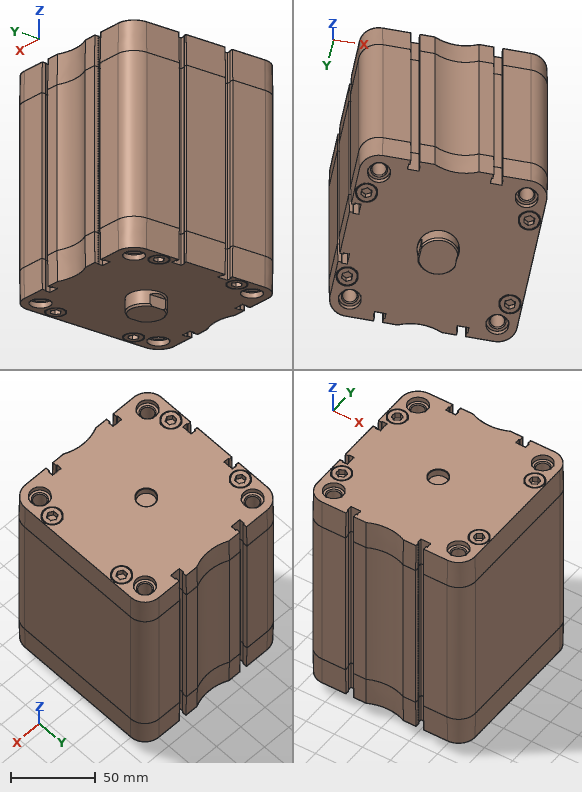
import cadquery as cq
import math

WIDTH = 113.5
BODY_HEIGHT = 147.0
OVERALL_HEIGHT = 157.0
ROD_PROJECTION = OVERALL_HEIGHT - BODY_HEIGHT
CAP_HEIGHT = 20.0
BARREL_HEIGHT = BODY_HEIGHT - 2 * CAP_HEIGHT
CAP_DRAFT = 1.2
CORNER_RADIUS = 12.1

HOLLOW_HALF_WIDTH = 13.2
HOLLOW_DEPTH = 3.0

SLOT_MOUTH_WIDTH = 5.5
SLOT_INNER_WIDTH = 6.9
Y_SIDE_SLOT_OFFSET = 25.0
Y_SIDE_SLOT_DEPTH = 6.8
Y_SIDE_LIP_DEPTH = 3.3
X_SIDE_SLOT_OFFSET = 17.5
X_SIDE_SLOT_DEPTH = 6.1
X_SIDE_LIP_DEPTH = 2.7

MOUNT_OFFSET = 44.5
MOUNT_BORE_DIAMETER = 13.5
MOUNT_BORE_DEPTH = 3.5
MOUNT_HOLE_DIAMETER = 8.6
MOUNT_CHAMFER_DIAMETER = 10.0

SCREW_X = 49.0
SCREW_Y = 29.4
SCREW_RING_OUTER = 13.0
SCREW_RING_INNER = 12.0
SCREW_RING_DEPTH = 1.5
SOCKET_ACROSS_FLATS = 6.0
SOCKET_DEPTH = 4.0

CENTRE_HOLE_DIAMETER = 12.7
CENTRE_CHAMFER_DIAMETER = 13.5
CENTRE_HOLE_DEPTH = 5.0

ROD_DIAMETER = 25.0
FLATS_WIDTH = 22.0
FLAT_START = 2.8
ROD_CHAMFER_LENGTH = 1.4
ROD_CHAMFER_INSET = 0.8


def corner_middle(x_sign, y_sign):
    """Middle point of a rounded outer corner."""
    reach = WIDTH / 2 - CORNER_RADIUS * (1 - math.sqrt(0.5))
    return (x_sign * reach, y_sign * reach)


def outline():
    """Closed cross-section of the body without its slots, counter-clockwise from the -Y side."""
    face = WIDTH / 2
    flat = face - CORNER_RADIUS
    hollow = HOLLOW_HALF_WIDTH
    hollow_floor = face - HOLLOW_DEPTH
    section = cq.Workplane("XY").moveTo(-flat, -face)
    for sign in (1, -1):
        section = section.lineTo(-sign * hollow, -sign * face)
        section = section.threePointArc((0, -sign * hollow_floor), (sign * hollow, -sign * face))
        section = section.lineTo(sign * flat, -sign * face)
        section = section.threePointArc(corner_middle(sign, -sign), (sign * face, -sign * flat))
        section = section.lineTo(sign * face, sign * flat)
        section = section.threePointArc(corner_middle(sign, sign), (sign * flat, sign * face))
    return section.close()


def slot_cutter(offset, depth, lip_depth, turn):
    """Cutter for one slot in the -Y side at X = offset, turned about Z to the wanted side."""
    face = -WIDTH / 2
    mouth = cq.Workplane("XY").center(offset, face).rect(SLOT_MOUTH_WIDTH, 2 * depth)
    inner_depth = depth - lip_depth
    inner_middle = face + lip_depth + inner_depth / 2
    inner = cq.Workplane("XY").center(offset, inner_middle).rect(SLOT_INNER_WIDTH, inner_depth)
    cutter = mouth.extrude(BODY_HEIGHT).union(inner.extrude(BODY_HEIGHT))
    return cutter.rotate((0, 0, 0), (0, 0, 1), turn)


def cut_slots(body):
    """Cut the two slots of each of the -Y, +Y and -X sides."""
    for sign in (-1, 1):
        for turn in (0, 180):
            body = body.cut(slot_cutter(sign * Y_SIDE_SLOT_OFFSET, Y_SIDE_SLOT_DEPTH, Y_SIDE_LIP_DEPTH, turn))
        body = body.cut(slot_cutter(sign * X_SIDE_SLOT_OFFSET, X_SIDE_SLOT_DEPTH, X_SIDE_LIP_DEPTH, -90))
    return body


def four_corners(x, y):
    """The four positions mirrored about both axes."""
    return [(x, y), (-x, y), (-x, -y), (x, -y)]


def mounting_holes():
    """Through holes with a counterbore and a chamfered mouth, at the outer face of a cap."""
    chamfer = (MOUNT_CHAMFER_DIAMETER - MOUNT_HOLE_DIAMETER) / 2
    bore_floor = CAP_HEIGHT - MOUNT_BORE_DEPTH
    profile = [
        (0, 0),
        (MOUNT_HOLE_DIAMETER / 2, 0),
        (MOUNT_HOLE_DIAMETER / 2, bore_floor - chamfer),
        (MOUNT_CHAMFER_DIAMETER / 2, bore_floor),
        (MOUNT_BORE_DIAMETER / 2, bore_floor),
        (MOUNT_BORE_DIAMETER / 2, CAP_HEIGHT),
        (0, CAP_HEIGHT),
    ]
    hole = cq.Workplane("XZ").polyline(profile).close().revolve(360, (0, 0, 0), (0, 1, 0))
    places = cq.Workplane("XY").pushPoints(four_corners(MOUNT_OFFSET, MOUNT_OFFSET))
    return places.eachpoint(lambda place: hole.val().moved(place))


def screw_recesses():
    """Ring groove around each screw head and the hexagon socket in it."""
    spots = four_corners(SCREW_X, SCREW_Y)
    face = cq.Workplane("XY", origin=(0, 0, CAP_HEIGHT)).pushPoints(spots)
    rings = face.circle(SCREW_RING_OUTER / 2).circle(SCREW_RING_INNER / 2).extrude(-SCREW_RING_DEPTH)
    hexagon = cq.Sketch().regularPolygon(SOCKET_ACROSS_FLATS / math.sqrt(3), 6)
    sockets = face.placeSketch(hexagon).extrude(-SOCKET_DEPTH)
    return rings.add(sockets.vals())


def make_cap():
    """Drafted cap with its joint face at Z = 0 and its outer face on top."""
    cap = cut_slots(outline().extrude(CAP_HEIGHT, taper=CAP_DRAFT))
    cap = cap.cut(mounting_holes())
    return cap.cut(screw_recesses())


def make_end_cap():
    """Upper cap with a blind chamfered hole on the axis."""
    cap = make_cap().translate((0, 0, CAP_HEIGHT + BARREL_HEIGHT))
    chamfer = (CENTRE_CHAMFER_DIAMETER - CENTRE_HOLE_DIAMETER) / 2
    top = cq.Workplane("XY", origin=(0, 0, BODY_HEIGHT))
    hole = top.circle(CENTRE_HOLE_DIAMETER / 2).extrude(-CENTRE_HOLE_DEPTH)
    hole = hole.union(top.circle(CENTRE_CHAMFER_DIAMETER / 2).extrude(-chamfer, taper=45))
    return cap.cut(hole)


def make_bearing_cap():
    """Lower cap, the mirror image of the upper one, with a bore for the rod."""
    cap = make_cap().mirror("XY").translate((0, 0, CAP_HEIGHT))
    bore = cq.Workplane("XY").circle(ROD_DIAMETER / 2).extrude(CAP_HEIGHT)
    return cap.cut(bore)


def make_barrel():
    """Straight profile between the caps."""
    barrel = cut_slots(outline().extrude(BARREL_HEIGHT))
    return barrel.translate((0, 0, CAP_HEIGHT))


def make_rod():
    """Rod with a chamfered end and two flats that run out at 45 degrees."""
    radius = ROD_DIAMETER / 2
    profile = [
        (0, -ROD_PROJECTION),
        (radius - ROD_CHAMFER_INSET, -ROD_PROJECTION),
        (radius, -ROD_PROJECTION + ROD_CHAMFER_LENGTH),
        (radius, CAP_HEIGHT),
        (0, CAP_HEIGHT),
    ]
    rod = cq.Workplane("XZ").polyline(profile).close().revolve(360, (0, 0, 0), (0, 1, 0))
    flat_x = FLATS_WIDTH / 2
    run_out = radius - flat_x
    for side in (-1, 1):
        cutter = [
            (side * flat_x, -ROD_PROJECTION),
            (side * flat_x, -FLAT_START),
            (side * (flat_x + run_out), -FLAT_START + run_out),
            (side * (flat_x + run_out), -ROD_PROJECTION),
        ]
        rod = rod.cut(cq.Workplane("XZ").polyline(cutter).close().extrude(radius, both=True))
    return rod


barrel = make_barrel()
end_cap = make_end_cap()
bearing_cap = make_bearing_cap()
rod = make_rod()

result = cq.Compound.makeCompound([barrel.val(), end_cap.val(), bearing_cap.val(), rod.val()])